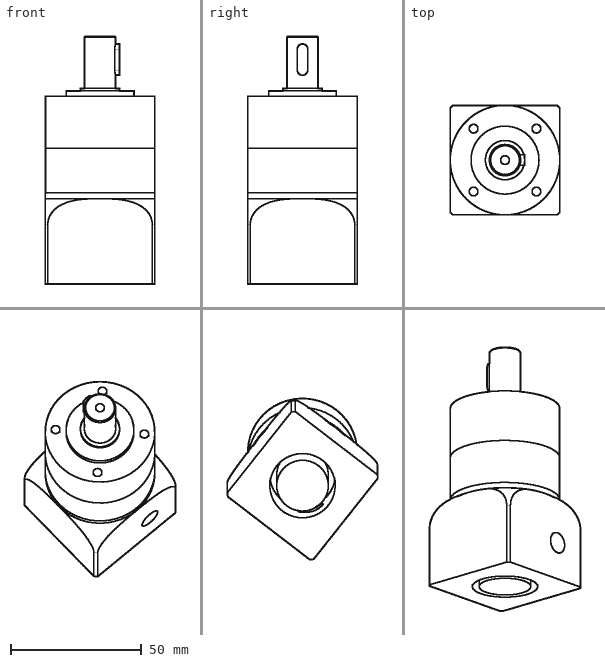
import cadquery as cq
import math

total_height = 95.0
body_size = 42.0

flange_shoulder_z = 33.0
flange_top_z = 35.0
ring_top_z = 52.0
housing_top_z = 72.0
pilot_top_z = 74.0
collar_top_z = 75.0

flange_turned_diameter = 57.95
flange_shoulder_radius = 10.0
access_hole_diameter = 8.0
access_hole_y = -6.8
access_hole_z = 14.6
hub_diameter = 19.8
hub_clearance_diameter = 25.0
hub_clearance_depth = 23.0

pilot_diameter = 26.0
bolt_circle_diameter = 34.0
bolt_count = 4

shaft_diameter = 12.0
collar_diameter = 15.0
shaft_chamfer = 0.5

drill_diameter = 3.3
drill_depth = 9.5
drill_point_angle = 118.0

key_width = 4.0
key_length = 12.0
key_height = 4.0
key_outer_x = 7.5
key_center_z = 86.0


def disc(diameter, bottom_z, top_z):
    """Upright cylinder on the main axis."""
    return cq.Workplane("XY").workplane(offset=bottom_z).circle(diameter / 2).extrude(top_z - bottom_z)


def drilled_hole(x, y, top_z):
    """Blind hole going down from top_z, ending in a conical drill point."""
    radius = drill_diameter / 2
    point_height = radius / math.tan(math.radians(drill_point_angle / 2))
    profile = [
        (0, 0),
        (radius, 0),
        (radius, -drill_depth),
        (0, -drill_depth - point_height),
    ]
    return cq.Workplane("XZ").polyline(profile).close().revolve(360, (0, 0), (0, 1)).translate((x, y, top_z))


def make_motor_flange():
    """Square block with turned corners, a round spigot and a side hole to the hub inside."""
    block = cq.Workplane("XY").rect(body_size, body_size).extrude(flange_shoulder_z)
    envelope = disc(flange_turned_diameter, 0, flange_shoulder_z).faces(">Z").edges().fillet(flange_shoulder_radius)
    spigot = disc(body_size, flange_shoulder_z - flange_shoulder_radius, flange_top_z)
    flange = block.intersect(envelope).union(spigot)

    clearance = disc(hub_clearance_diameter, 0, hub_clearance_depth)
    hub = disc(hub_diameter, 0, hub_clearance_depth)
    flange = flange.cut(clearance.cut(hub))

    access_hole = (
        cq.Workplane("YZ", origin=(-body_size / 2, 0, 0))
        .center(access_hole_y, access_hole_z)
        .circle(access_hole_diameter / 2)
        .extrude(body_size / 2)
    )
    return flange.cut(access_hole.cut(hub))


def make_gear_ring():
    return disc(body_size, flange_top_z, ring_top_z)


def make_output_housing():
    """Round housing with a centring pilot and drilled mounting holes."""
    housing = disc(body_size, ring_top_z, housing_top_z).union(disc(pilot_diameter, housing_top_z, pilot_top_z))
    for index in range(bolt_count):
        angle = math.radians(45 + index * 360 / bolt_count)
        x = bolt_circle_diameter / 2 * math.cos(angle)
        y = bolt_circle_diameter / 2 * math.sin(angle)
        housing = housing.cut(drilled_hole(x, y, housing_top_z))
    return housing


def make_key():
    """Round-ended key lying along the shaft on its +X side."""
    return (
        cq.Workplane("YZ", origin=(key_outer_x - key_height, 0, key_center_z))
        .slot2D(key_length, key_width, 90)
        .extrude(key_height)
    )


def make_output_shaft(key):
    """Shaft with a collar at its foot, a centre hole and a seat for the key."""
    shaft = disc(shaft_diameter, pilot_top_z, total_height).faces(">Z").chamfer(shaft_chamfer)
    shaft = shaft.union(disc(collar_diameter, pilot_top_z, collar_top_z))
    return shaft.cut(drilled_hole(0, 0, total_height)).cut(key)


motor_flange = make_motor_flange()
gear_ring = make_gear_ring()
output_housing = make_output_housing()
key = make_key()
output_shaft = make_output_shaft(key)

result = cq.Compound.makeCompound([
    motor_flange.val(),
    gear_ring.val(),
    output_housing.val(),
    output_shaft.val(),
    key.val(),
])